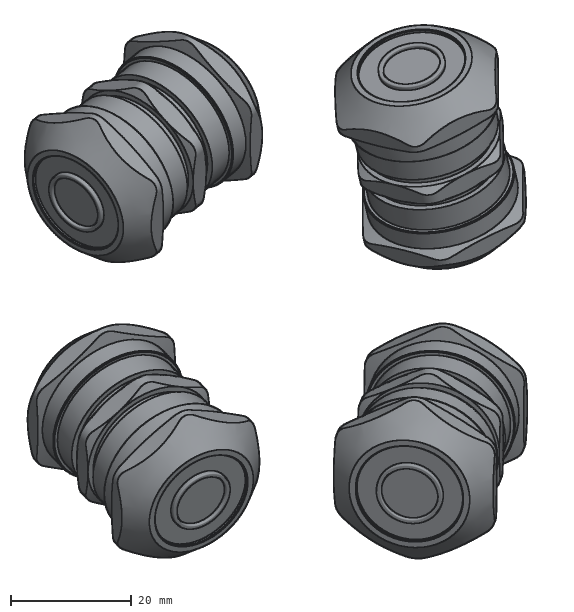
import cadquery as cq
import math


total_length = 36.5
corner_radius = 3.0
half_hex_angle = 30.0

neck_diameter = 21.97
neck_end = 3.32
barrel_diameter = 24.0
collar_diameter = 25.5
collar_start = 7.77
collar_chamfer = 0.2

middle_hex_width = barrel_diameter
middle_hex_thickness = 3.5
middle_chamfer_angle = 30.0

nut_width = 27.0
nut_back = 11.5
nut_back_angle = 15.0
nut_front = 14.75

rim_diameter = 20.45
recess_diameter = 18.0
recess_depth = 0.6
recess_chamfer = 0.15
ring_diameter = 11.25
ring_round = 0.22
dish_diameter = 9.6
dish_depth = 0.65
dish_round = 0.22

end_face = total_length / 2
rim_face = nut_front + (nut_width - rim_diameter) / 2
recess_floor = rim_face - recess_depth


def revolve_about_y(sketch):
    """Turn a half profile drawn in the XY plane around the gland axis."""
    return sketch.revolve(360, (0, 0, 0), (0, 1, 0))


def disc(diameter, start, end):
    """Cylinder along Y between two distances from the middle plane."""
    return cq.Workplane("XZ", origin=(0, start, 0)).circle(diameter / 2).extrude(start - end)


def hexagon(width, start, end):
    """Hexagonal prism along Y with rounded corners and two flats square to X."""
    across_corners = width / math.cos(math.radians(half_hex_angle))
    return (
        cq.Workplane("XZ", origin=(0, start, 0))
        .transformed(rotate=(0, 0, half_hex_angle))
        .polygon(6, across_corners)
        .extrude(start - end)
        .edges("|Y")
        .fillet(corner_radius)
    )


def middle_hexagon():
    """Central hexagon with both faces chamfered to a circle touching the flats."""
    half = middle_hex_thickness / 2
    flat_radius = middle_hex_width / 2
    peak_radius = flat_radius + half / math.tan(math.radians(middle_chamfer_angle))
    envelope = revolve_about_y(
        cq.Workplane("XY")
        .moveTo(0, -half)
        .lineTo(flat_radius, -half)
        .lineTo(peak_radius, 0)
        .lineTo(flat_radius, half)
        .lineTo(0, half)
        .close()
    )
    return hexagon(middle_hex_width, -half, half).intersect(envelope)


def cap_nut():
    """Hexagon bounded by its back chamfer and by the cone that rises to the flat rim."""
    flat_radius = nut_width / 2
    collar_radius = collar_diameter / 2
    back_slope = math.tan(math.radians(nut_back_angle))
    back_plane = nut_back - (flat_radius - collar_radius) * back_slope
    cone_sum = flat_radius + nut_front
    edge_radius = (cone_sum - back_plane + collar_radius * back_slope) / (1 + back_slope)
    envelope = revolve_about_y(
        cq.Workplane("XY")
        .moveTo(0, back_plane)
        .lineTo(collar_radius, back_plane)
        .lineTo(edge_radius, cone_sum - edge_radius)
        .lineTo(rim_diameter / 2, rim_face)
        .lineTo(0, rim_face)
        .close()
    )
    return hexagon(nut_width, back_plane, rim_face).intersect(envelope)


def body_half():
    """Neck, barrel and collar on one side of the middle plane."""
    collar = disc(collar_diameter, collar_start, nut_back).faces("<Y").chamfer(collar_chamfer)
    return (
        disc(neck_diameter, 0, neck_end)
        .union(disc(barrel_diameter, neck_end, collar_start))
        .union(collar)
    )


def end_recess():
    """Recess cut into the flat rim, with its mouth chamfered."""
    radius = recess_diameter / 2
    return revolve_about_y(
        cq.Workplane("XY")
        .moveTo(0, recess_floor)
        .lineTo(radius, recess_floor)
        .lineTo(radius, rim_face - recess_chamfer)
        .lineTo(radius + recess_chamfer, rim_face)
        .lineTo(0, rim_face)
        .close()
    )


def end_ring():
    """Raised ring with a rounded outer edge and a dished centre with a rounded mouth."""
    ring = disc(ring_diameter, recess_floor, end_face).faces(">Y").edges().fillet(ring_round)
    ring = ring.cut(disc(dish_diameter, end_face - dish_depth, end_face))
    mouth = cq.selectors.RadiusNthSelector(0)
    return ring.faces(">Y").edges(mouth).fillet(dish_round)


half_gland = body_half().union(cap_nut()).cut(end_recess()).union(end_ring())
result = half_gland.union(half_gland.mirror("XZ")).union(middle_hexagon())